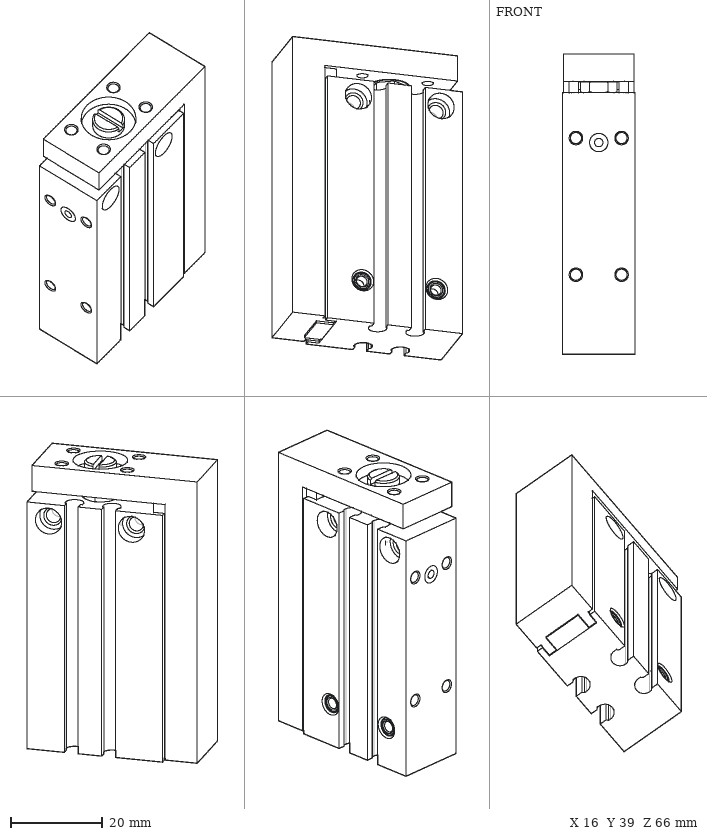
import cadquery as cq
import math

OVERALL_HEIGHT = 66.0

HOUSING_WIDTH = 16.0
HOUSING_HEIGHT = 57.5
HOUSING_FRONT_Y = -14.45
HOUSING_BACK_Y = 16.6
SENSOR_GROOVE_DIAMETER = 4.0
SENSOR_GROOVE_Y = 4.3
SENSOR_GROOVE_OPENING = 3.2
SENSOR_GROOVE_LIP_DEPTH = 1.6
SENSOR_GROOVE_AXIS_DEPTH = 2.6
BOLT_HOLE_DIAMETER = 3.25
BOLT_HOLE_MOUTH_DIAMETER = 4.15
BOLT_HEAD_DIAMETER = 6.0
BOLT_HEAD_DEPTH = 3.3
BOLT_HOLE_Y = 9.5
BOLT_HOLE_Z = 53.5

TAP_DIAMETER = 2.45
TAP_MOUTH_DIAMETER = 3.0
TAP_DEPTH = 5.0
DRILL_POINT_ANGLE = 118
FRONT_TAP_X = 5.0
FRONT_TAP_LOW_Z = 17.5
FRONT_TAP_SPACING = 30.0
TABLE_TAP_X = 4.5
TABLE_TAP_Y = 7.5

TABLE_WIDTH = 15.5
TABLE_PLATE_THICKNESS = 6.0
TABLE_PLATE_FRONT_Y = -13.4
TABLE_FACE_Y = 17.15
TABLE_BACK_Y = 24.55
TABLE_BOTTOM_Z = 0.45
GUIDE_BLOCK_WIDTH = 13.15
GUIDE_BLOCK_FRONT_Y = 14.1

RAIL_WIDTH = 9.0
RAIL_BACK_Y = 18.1
RAIL_HEIGHT = 58.15

ROD_DIAMETER = 4.0
ROD_INSERTION = 8.0
ROD_HEAD_DIAMETER = 7.0
ROD_HEAD_HEIGHT = 2.5
ROD_HEAD_CHAMFER = 0.4
ROD_HEAD_RECESS_DIAMETER = 12.0
SCREWDRIVER_SLOT_WIDTH = 1.4
SCREWDRIVER_SLOT_DEPTH = 1.4
NUT_SIDES = 6
NUT_ACROSS_FLATS = 7.0
NUT_CHAMFER_DIAMETER = 7.25
NUT_CHAMFER_ANGLE = 30
NUT_FLANGE_DIAMETER = 9.0
NUT_FLANGE_THICKNESS = 0.1

PORT_DIAMETER = 4.15
PORT_MOUTH_DIAMETER = 5.0
PORT_Y = 8.5
PORT_Z = 9.9
PORT_PLUG_LENGTH = 3.95
PORT_PLUG_CHAMFER = 0.25
PORT_SOCKET_DIAMETER = 2.45
PORT_SOCKET_MOUTH_DIAMETER = 3.0
PORT_SOCKET_DEPTH = 2.65
FRONT_PLUG_DIAMETER = 4.0
FRONT_PLUG_Z = 46.5
FRONT_PLUG_LENGTH = 3.95
FRONT_SOCKET_DIAMETER = 1.85
FRONT_SOCKET_DEPTH = 2.0

SIDE_X = HOUSING_WIDTH / 2
PLATE_BOTTOM_Z = OVERALL_HEIGHT - TABLE_PLATE_THICKNESS
HEAD_SEAT_Z = OVERALL_HEIGHT - ROD_HEAD_HEIGHT
ROD_BOTTOM_Z = HOUSING_HEIGHT - ROD_INSERTION
FRONT_TAP_HEIGHTS = (FRONT_TAP_LOW_Z, FRONT_TAP_LOW_Z + FRONT_TAP_SPACING)

INTO_FRONT = (0, 1, 0)
INTO_LEFT_SIDE = (1, 0, 0)
INTO_RIGHT_SIDE = (-1, 0, 0)


def box_between(x_range, y_range, z_range):
    """Axis-aligned box given by its limits along X, Y and Z."""
    lengths = [high - low for low, high in (x_range, y_range, z_range)]
    corner = (x_range[0], y_range[0], z_range[0])
    return cq.Workplane("XY").box(*lengths, centered=False).translate(corner)


def centred(width):
    return (-width / 2, width / 2)


def cylinder(start, direction, diameter, length):
    solid = cq.Solid.makeCylinder(diameter / 2, length, cq.Vector(*start), cq.Vector(*direction))
    return cq.Workplane(solid)


def cone(start, direction, start_diameter, end_diameter, length):
    solid = cq.Solid.makeCone(
        start_diameter / 2, end_diameter / 2, length, cq.Vector(*start), cq.Vector(*direction)
    )
    return cq.Workplane(solid)


def countersink(mouth, direction, mouth_diameter, hole_diameter):
    """45 degree mouth that narrows to the hole."""
    depth = (mouth_diameter - hole_diameter) / 2
    return cone(mouth, direction, mouth_diameter, hole_diameter, depth)


def drilled_hole(mouth, direction, diameter, depth):
    """Blind hole with a conical drill point."""
    bottom = cq.Vector(*mouth) + cq.Vector(*direction) * depth
    point_length = diameter / 2 / math.tan(math.radians(DRILL_POINT_ANGLE / 2))
    bore = cylinder(mouth, direction, diameter, depth)
    return bore.union(cone(bottom.toTuple(), direction, diameter, 0, point_length))


def sensor_groove():
    """Round-bottomed groove along the left side, centred on Y = 0, with a narrower mouth between lips."""
    opening = SENSOR_GROOVE_OPENING / 2
    radius = SENSOR_GROOVE_DIAMETER / 2
    lip_x = -SIDE_X + SENSOR_GROOVE_LIP_DEPTH
    wall_x = lip_x + radius - opening
    axis_x = -SIDE_X + SENSOR_GROOVE_AXIS_DEPTH
    return (
        cq.Workplane("XY")
        .moveTo(-SIDE_X, -opening)
        .lineTo(lip_x, -opening)
        .lineTo(wall_x, -radius)
        .lineTo(axis_x, -radius)
        .threePointArc((axis_x + radius, 0), (axis_x, radius))
        .lineTo(wall_x, radius)
        .lineTo(lip_x, opening)
        .lineTo(-SIDE_X, opening)
        .close()
        .extrude(HOUSING_HEIGHT)
    )


def sensor_grooves():
    left_pair = sensor_groove().translate((0, SENSOR_GROOVE_Y, 0))
    left_pair = left_pair.add(sensor_groove().translate((0, -SENSOR_GROOVE_Y, 0))).combine()
    return left_pair.union(left_pair.mirror("YZ"))


def bolt_holes():
    """Cross holes through the housing, counterbored and countersunk from both sides."""
    holes = cq.Workplane("XY")
    for y in (-BOLT_HOLE_Y, BOLT_HOLE_Y):
        for side, inward in ((-1, INTO_LEFT_SIDE), (1, INTO_RIGHT_SIDE)):
            mouth = (side * SIDE_X, y, BOLT_HOLE_Z)
            seat = (side * (SIDE_X - BOLT_HEAD_DEPTH), y, BOLT_HOLE_Z)
            holes = holes.add(cylinder(mouth, inward, BOLT_HOLE_DIAMETER, SIDE_X))
            holes = holes.add(cylinder(mouth, inward, BOLT_HEAD_DIAMETER, BOLT_HEAD_DEPTH))
            holes = holes.add(countersink(seat, inward, BOLT_HOLE_MOUTH_DIAMETER, BOLT_HOLE_DIAMETER))
    return holes.combine()


def front_tapped_holes():
    holes = cq.Workplane("XY")
    for x in (-FRONT_TAP_X, FRONT_TAP_X):
        for z in FRONT_TAP_HEIGHTS:
            mouth = (x, HOUSING_FRONT_Y, z)
            holes = holes.add(drilled_hole(mouth, INTO_FRONT, TAP_DIAMETER, TAP_DEPTH))
            holes = holes.add(countersink(mouth, INTO_FRONT, TAP_MOUTH_DIAMETER, TAP_DIAMETER))
    return holes.combine()


def port_mouth(y):
    return (-SIDE_X, y, PORT_Z)


def port_plug_start(y):
    """The plug starts where the port's countersink ends."""
    return (-SIDE_X + (PORT_MOUTH_DIAMETER - PORT_DIAMETER) / 2, y, PORT_Z)


def ports():
    holes = cq.Workplane("XY")
    for y in (-PORT_Y, PORT_Y):
        holes = holes.add(
            countersink(port_mouth(y), INTO_LEFT_SIDE, PORT_MOUTH_DIAMETER, PORT_DIAMETER)
        )
        holes = holes.add(
            cylinder(port_plug_start(y), INTO_LEFT_SIDE, PORT_DIAMETER, PORT_PLUG_LENGTH)
        )
    return holes.combine()


def front_plug_bore():
    mouth = (0, HOUSING_FRONT_Y, FRONT_PLUG_Z)
    return cylinder(mouth, INTO_FRONT, FRONT_PLUG_DIAMETER, FRONT_PLUG_LENGTH)


def make_housing():
    housing = box_between(
        centred(HOUSING_WIDTH), (HOUSING_FRONT_Y, HOUSING_BACK_Y), (0, HOUSING_HEIGHT)
    )
    guide_channel = box_between(
        centred(GUIDE_BLOCK_WIDTH), (GUIDE_BLOCK_FRONT_Y, HOUSING_BACK_Y), (0, HOUSING_HEIGHT)
    )
    rod_bore = cylinder((0, 0, ROD_BOTTOM_Z), (0, 0, 1), ROD_DIAMETER, ROD_INSERTION)
    return (
        housing.cut(guide_channel)
        .cut(sensor_grooves())
        .cut(bolt_holes())
        .cut(front_tapped_holes())
        .cut(ports())
        .cut(front_plug_bore())
        .cut(rod_bore)
    )


def table_tapped_holes():
    holes = cq.Workplane("XY")
    for x in (-TABLE_TAP_X, TABLE_TAP_X):
        for y in (-TABLE_TAP_Y, TABLE_TAP_Y):
            mouth = (x, y, OVERALL_HEIGHT)
            holes = holes.add(cylinder(mouth, (0, 0, -1), TAP_DIAMETER, TABLE_PLATE_THICKNESS))
            holes = holes.add(countersink(mouth, (0, 0, -1), TAP_MOUTH_DIAMETER, TAP_DIAMETER))
    return holes.combine()


def make_table():
    top_plate = box_between(
        centred(TABLE_WIDTH), (TABLE_PLATE_FRONT_Y, TABLE_BACK_Y), (PLATE_BOTTOM_Z, OVERALL_HEIGHT)
    )
    back_plate = box_between(
        centred(TABLE_WIDTH), (TABLE_FACE_Y, TABLE_BACK_Y), (TABLE_BOTTOM_Z, OVERALL_HEIGHT)
    )
    guide_block = box_between(
        centred(GUIDE_BLOCK_WIDTH), (GUIDE_BLOCK_FRONT_Y, TABLE_FACE_Y), (TABLE_BOTTOM_Z, PLATE_BOTTOM_Z)
    )
    rail_channel = box_between(
        centred(RAIL_WIDTH), (GUIDE_BLOCK_FRONT_Y, RAIL_BACK_Y), (TABLE_BOTTOM_Z, PLATE_BOTTOM_Z)
    )
    head_recess = cylinder((0, 0, HEAD_SEAT_Z), (0, 0, 1), ROD_HEAD_RECESS_DIAMETER, ROD_HEAD_HEIGHT)
    rod_hole = cylinder((0, 0, PLATE_BOTTOM_Z), (0, 0, 1), ROD_DIAMETER, TABLE_PLATE_THICKNESS)
    return (
        top_plate.union(back_plate)
        .union(guide_block)
        .cut(rail_channel)
        .cut(head_recess)
        .cut(rod_hole)
        .cut(table_tapped_holes())
    )


def make_rail():
    return box_between(centred(RAIL_WIDTH), (GUIDE_BLOCK_FRONT_Y, RAIL_BACK_Y), (0, RAIL_HEIGHT))


def make_rod():
    shank = cylinder((0, 0, ROD_BOTTOM_Z), (0, 0, 1), ROD_DIAMETER, HEAD_SEAT_Z - ROD_BOTTOM_Z)
    head = cylinder((0, 0, HEAD_SEAT_Z), (0, 0, 1), ROD_HEAD_DIAMETER, ROD_HEAD_HEIGHT)
    head = head.faces(">Z").chamfer(ROD_HEAD_CHAMFER)
    slot = box_between(
        centred(ROD_HEAD_DIAMETER),
        centred(SCREWDRIVER_SLOT_WIDTH),
        (OVERALL_HEIGHT - SCREWDRIVER_SLOT_DEPTH, OVERALL_HEIGHT),
    )
    return shank.union(head).cut(slot)


def make_nut():
    nut_height = PLATE_BOTTOM_Z - HOUSING_HEIGHT
    across_corners = NUT_ACROSS_FLATS / math.cos(math.pi / NUT_SIDES)
    hexagon = (
        cq.Workplane("XY")
        .workplane(offset=HOUSING_HEIGHT)
        .polygon(NUT_SIDES, across_corners)
        .extrude(nut_height)
    )
    chamfer_radius = NUT_CHAMFER_DIAMETER / 2
    corner_radius = across_corners / 2
    chamfer_height = (corner_radius - chamfer_radius) * math.tan(math.radians(NUT_CHAMFER_ANGLE))
    trimmed = (
        cq.Workplane("XZ")
        .moveTo(0, HOUSING_HEIGHT)
        .lineTo(chamfer_radius, HOUSING_HEIGHT)
        .lineTo(corner_radius, HOUSING_HEIGHT + chamfer_height)
        .lineTo(corner_radius, PLATE_BOTTOM_Z - chamfer_height)
        .lineTo(chamfer_radius, PLATE_BOTTOM_Z)
        .lineTo(0, PLATE_BOTTOM_Z)
        .close()
        .revolve(360, (0, 0), (0, 1))
    )
    flange = cylinder((0, 0, PLATE_BOTTOM_Z), (0, 0, -1), NUT_FLANGE_DIAMETER, NUT_FLANGE_THICKNESS)
    rod_hole = cylinder((0, 0, HOUSING_HEIGHT), (0, 0, 1), ROD_DIAMETER, nut_height)
    return hexagon.intersect(trimmed).union(flange).cut(rod_hole)


def make_port_plug(y):
    start = port_plug_start(y)
    plug = cylinder(start, INTO_LEFT_SIDE, PORT_DIAMETER, PORT_PLUG_LENGTH)
    plug = plug.faces("<X").chamfer(PORT_PLUG_CHAMFER)
    socket = drilled_hole(start, INTO_LEFT_SIDE, PORT_SOCKET_DIAMETER, PORT_SOCKET_DEPTH)
    mouth = countersink(start, INTO_LEFT_SIDE, PORT_SOCKET_MOUTH_DIAMETER, PORT_SOCKET_DIAMETER)
    return plug.cut(socket).cut(mouth)


def make_front_plug():
    mouth = (0, HOUSING_FRONT_Y, FRONT_PLUG_Z)
    return front_plug_bore().cut(cylinder(mouth, INTO_FRONT, FRONT_SOCKET_DIAMETER, FRONT_SOCKET_DEPTH))


housing = make_housing()
table = make_table()
rail = make_rail()
rod = make_rod()
nut = make_nut()
front_plug = make_front_plug()
port_plugs = [make_port_plug(y) for y in (-PORT_Y, PORT_Y)]

result = cq.Compound.makeCompound(
    [
        housing.val(),
        table.val(),
        rail.val(),
        rod.val(),
        nut.val(),
        front_plug.val(),
        *[plug.val() for plug in port_plugs],
    ]
)